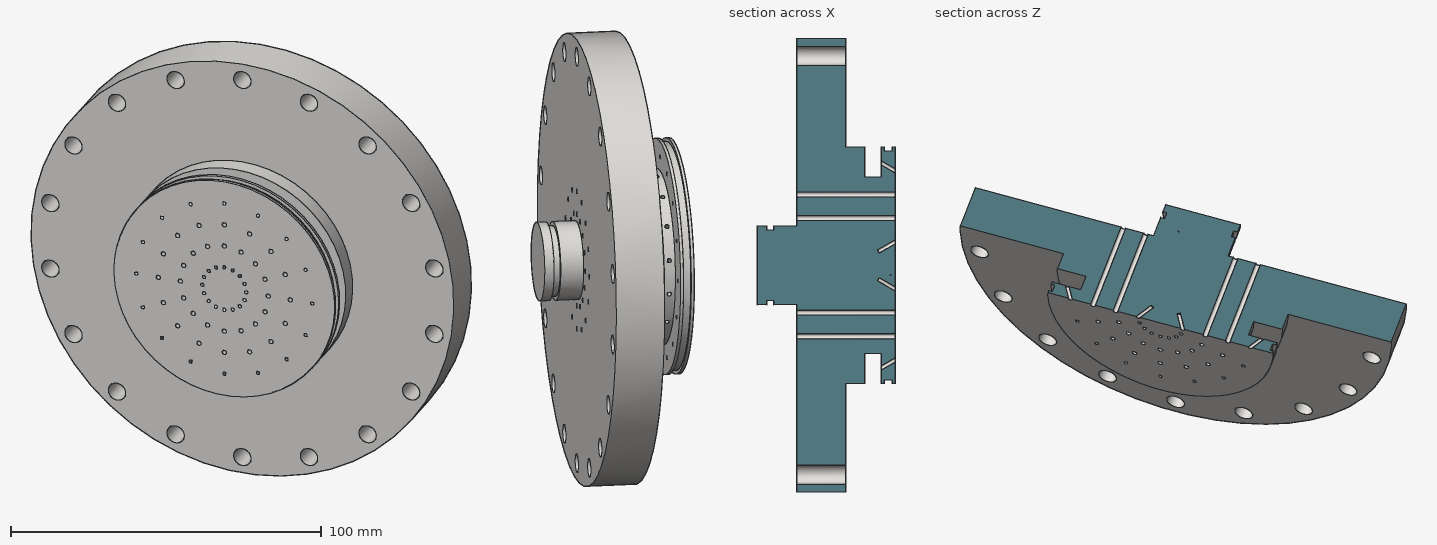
import cadquery as cq
import math


lip_length = 1.0
seal_groove_width = 2.5
neck_length = 5.3
shoulder_length = 6.1
flange_thickness = 15.8
spigot_length = 7.5
spigot_groove_width = 2.2
spigot_lip_length = 3.0

flange_radius = 73.0
face_radius = 38.1
seal_groove_depth = 1.2
neck_radius = 28.5
spigot_radius = 12.7
spigot_groove_depth = 1.3

bolt_count = 18
bolt_circle_radius = 67.3
bolt_hole_diameter = 6.0

ports_per_ring = 16
ring_spacing = 7.6
inner_ring = 1
straight_rings = (2, 3)
outer_ring = 4
straight_port_diameter = 1.5
leaning_port_diameter = 1.0
port_lean_angle = 30
radial_port_diameter = 1.3
radial_port_depth = 4.4
radial_port_setback = 1.9
drill_run_in = 1.5

face_plate_thickness = 2 * lip_length + seal_groove_width
pitch_angle = 360 / ports_per_ring

sections = [
    (lip_length, face_radius),
    (seal_groove_width, face_radius - seal_groove_depth),
    (lip_length, face_radius),
    (neck_length, neck_radius),
    (shoulder_length, face_radius),
    (flange_thickness, flange_radius),
    (spigot_length, spigot_radius),
    (spigot_groove_width, spigot_radius - spigot_groove_depth),
    (spigot_lip_length, spigot_radius),
]
total_length = sum(length for length, radius in sections)


def turned_body():
    """Revolve the stepped half profile about the Y axis."""
    profile = cq.Workplane("YZ").moveTo(0, 0)
    y = 0
    for length, radius in sections:
        profile = profile.lineTo(y, radius)
        y += length
        profile = profile.lineTo(y, radius)
    return profile.lineTo(y, 0).close().revolve(360, (0, 0, 0), (1, 0, 0))


def axial_holes(ring_radius, count, diameter):
    """Ring of cylinders running right through the part along Y, the first one straight up."""
    return (
        cq.Workplane("XZ")
        .polarArray(ring_radius, 90, 360, count)
        .circle(diameter / 2)
        .extrude(-total_length)
    )


def port_ring(entry_radius, entry_y, diameter, depth, outward_part, rearward_part, first_angle):
    """Ring of drilled ports; each runs `depth` from its entry point along a radial/rearward heading."""
    drills = []
    for index in range(ports_per_ring):
        angle = math.radians(first_angle + index * pitch_angle)
        radial = cq.Vector(math.cos(angle), 0, math.sin(angle))
        heading = radial * outward_part + cq.Vector(0, rearward_part, 0)
        entry = radial * entry_radius + cq.Vector(0, entry_y, 0)
        start = entry - heading * drill_run_in
        drills.append(cq.Solid.makeCylinder(diameter / 2, depth + drill_run_in, start, heading))
    return cq.Workplane("XY").newObject(drills).combine()


result = turned_body()
result = result.cut(axial_holes(bolt_circle_radius, bolt_count, bolt_hole_diameter))

for ring in straight_rings:
    result = result.cut(axial_holes(ring * ring_spacing, ports_per_ring, straight_port_diameter))

lean_sine = math.sin(math.radians(port_lean_angle))
lean_cosine = math.cos(math.radians(port_lean_angle))
leaning_port_depth = face_plate_thickness / lean_cosine + leaning_port_diameter
for ring, side in ((inner_ring, -1), (outer_ring, 1)):
    result = result.cut(
        port_ring(ring * ring_spacing, 0, leaning_port_diameter, leaning_port_depth,
                  side * lean_sine, lean_cosine, 0)
    )

result = result.cut(
    port_ring(neck_radius, face_plate_thickness + radial_port_setback, radial_port_diameter,
              radial_port_depth, -1, 0, pitch_angle / 2)
)